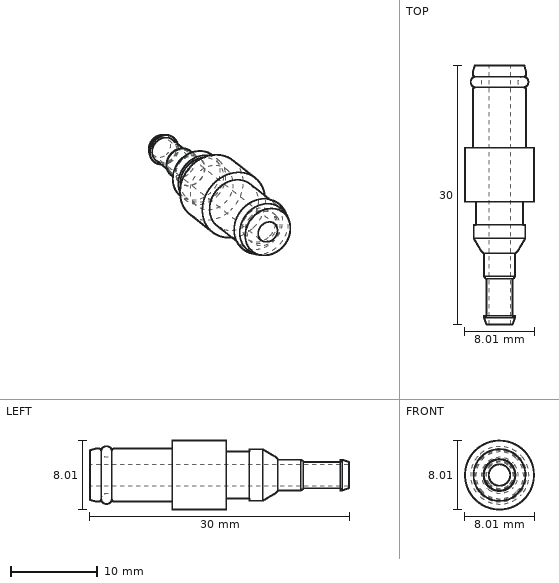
import cadquery as cq
import math

LENGTH = 30.0
TIP_Y = -LENGTH / 2
REAR_Y = LENGTH / 2

BORE_R = 1.23
TUBE_R = 1.53
STEM_R = 1.8
COLLAR_R = 3.0
NECK_R = 2.73
FLANGE_R = 4.005
SHANK_R = 3.1

TIP_ROUND = 0.12
TIP_R = 1.55
BARB_LENGTH = 1.02
BARB_LAND = 0.2

STEP_Y = TIP_Y + 5.3
STEP_CHAMFER = 0.27
STEP_FILLET = 0.1

CONE_FRONT_Y = TIP_Y + 8.25
NOSE_CHAMFER = 0.27
CONE_SMALL_R = 2.13
COLLAR_FRONT_Y = TIP_Y + 10.0
COLLAR_REAR_Y = TIP_Y + 11.55
FLANGE_FRONT_Y = TIP_Y + 14.22
FLANGE_REAR_Y = TIP_Y + 20.5

RING_SECTION_R = 0.63
RING_OUTER_R = 3.35
RING_CENTER_R = RING_OUTER_R - RING_SECTION_R
RING_Y = REAR_Y - 1.92
GROOVE_FLOOR_R = RING_CENTER_R - RING_SECTION_R
GROOVE_FRONT_Y = RING_Y - RING_SECTION_R
GROOVE_REAR_Y = RING_Y + RING_SECTION_R
LIP_ROUND = 0.27

REAR_TAPER_LENGTH = 0.72
REAR_END_R = 2.88

DIAGONAL = math.sqrt(0.5)


def revolve_about_y(profile):
    return profile.revolve(360, (0, 0, 0), (0, 1, 0))


def quarter_arc(profile, center, radius, x_side, y_side, end):
    """Add a quarter circle whose middle lies diagonally from its center."""
    middle = (
        center[0] + x_side * radius * DIAGONAL,
        center[1] + y_side * radius * DIAGONAL,
    )
    return profile.threePointArc(middle, end)


def make_fitting():
    """Hollow fitting, outlined from the bore at the tip to the bore at the rear."""
    profile = cq.Workplane("XY").moveTo(BORE_R, TIP_Y)

    profile = profile.lineTo(TIP_R - TIP_ROUND, TIP_Y)
    profile = quarter_arc(
        profile, (TIP_R - TIP_ROUND, TIP_Y + TIP_ROUND), TIP_ROUND, 1, -1, (TIP_R, TIP_Y + TIP_ROUND)
    )
    barb_rear_y = TIP_Y + BARB_LENGTH
    profile = profile.lineTo(STEM_R, barb_rear_y - BARB_LAND)
    profile = profile.lineTo(STEM_R, barb_rear_y)
    profile = profile.lineTo(TUBE_R, barb_rear_y)

    fillet_r = TUBE_R + STEP_FILLET
    profile = profile.lineTo(TUBE_R, STEP_Y - STEP_FILLET)
    profile = quarter_arc(
        profile, (fillet_r, STEP_Y - STEP_FILLET), STEP_FILLET, -1, 1, (fillet_r, STEP_Y)
    )
    profile = profile.lineTo(STEM_R, STEP_Y + STEP_CHAMFER)
    profile = profile.lineTo(STEM_R, CONE_FRONT_Y)

    cone_start_y = CONE_FRONT_Y + NOSE_CHAMFER
    profile = profile.lineTo(CONE_SMALL_R - NOSE_CHAMFER, CONE_FRONT_Y)
    profile = profile.lineTo(CONE_SMALL_R, cone_start_y)
    profile = profile.lineTo(COLLAR_R, COLLAR_FRONT_Y)
    profile = profile.lineTo(COLLAR_R, COLLAR_REAR_Y)
    profile = profile.lineTo(NECK_R, COLLAR_REAR_Y)
    profile = profile.lineTo(NECK_R, FLANGE_FRONT_Y)

    profile = profile.lineTo(FLANGE_R, FLANGE_FRONT_Y)
    profile = profile.lineTo(FLANGE_R, FLANGE_REAR_Y)
    profile = profile.lineTo(SHANK_R, FLANGE_REAR_Y)

    lip_r = SHANK_R - LIP_ROUND
    front_lip_y = GROOVE_FRONT_Y - LIP_ROUND
    rear_lip_y = GROOVE_REAR_Y + LIP_ROUND
    profile = profile.lineTo(SHANK_R, front_lip_y)
    profile = quarter_arc(profile, (lip_r, front_lip_y), LIP_ROUND, 1, 1, (lip_r, GROOVE_FRONT_Y))
    profile = profile.lineTo(GROOVE_FLOOR_R, GROOVE_FRONT_Y)
    profile = profile.lineTo(GROOVE_FLOOR_R, GROOVE_REAR_Y)
    profile = profile.lineTo(lip_r, GROOVE_REAR_Y)
    profile = quarter_arc(profile, (lip_r, rear_lip_y), LIP_ROUND, 1, -1, (SHANK_R, rear_lip_y))

    profile = profile.lineTo(SHANK_R, REAR_Y - REAR_TAPER_LENGTH)
    profile = profile.lineTo(REAR_END_R, REAR_Y)
    profile = profile.lineTo(BORE_R, REAR_Y)
    return revolve_about_y(profile.close())


def make_seal_ring():
    """Round-section ring seated on the groove floor."""
    section = cq.Workplane("XY").center(RING_CENTER_R, RING_Y).circle(RING_SECTION_R)
    return section.revolve(360, (-RING_CENTER_R, 0, 0), (-RING_CENTER_R, 1, 0))


fitting = make_fitting()
seal_ring = make_seal_ring()

result = cq.Compound.makeCompound([fitting.val(), seal_ring.val()])